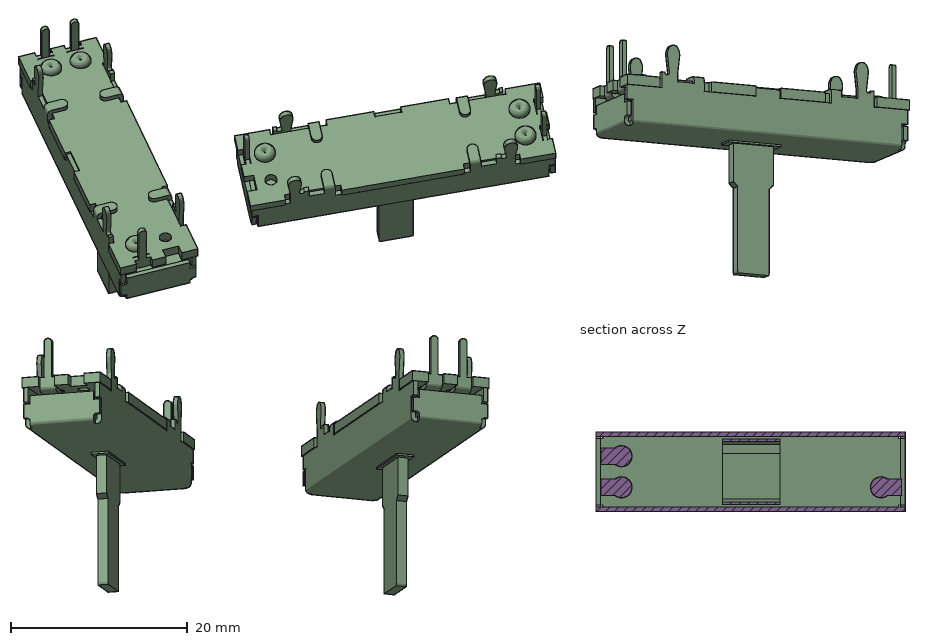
import cadquery as cq

SHEET = 0.53

BOARD_LENGTH = 35.2
BOARD_WIDTH = 9.3
BOARD_THICKNESS = 1.15
BOARD_BOTTOM = 4.58
BOARD_TOP = BOARD_BOTTOM + BOARD_THICKNESS
SIDE_NOTCH_DEPTH = 0.67
SIDE_NOTCH_OUTER = 13.55
SIDE_NOTCH_INNER = 7.08
CENTRE_NOTCH_LENGTH = 3.1
END_NOTCH_DEPTH = 1.13
TERMINAL_WIDTH = 1.9
TERMINAL_Y = 1.75
RIVET_X = 14.68
RIVET_HOLE_DIAMETER = 1.35

CHANNEL_LENGTH = 35.0
CHANNEL_WIDTH = 9.0
CHANNEL_X = -0.07
CHANNEL_LEFT = CHANNEL_X - CHANNEL_LENGTH / 2
CHANNEL_RIGHT = CHANNEL_X + CHANNEL_LENGTH / 2
WALL_OUTER_Y = CHANNEL_WIDTH / 2
FRONT_WALL_Y = (-WALL_OUTER_Y, SHEET - WALL_OUTER_Y)
TAB_ROOT = BOARD_BOTTOM - SHEET
CORNER_RELIEF = 0.75
CORNER_RELIEF_TOP = 2.92
END_PLATE_TOP = 3.63
EAR_BOTTOM = 1.05
EAR_TOP = 2.68
EAR_ROUND = 0.42

TAB_TOP = 5.42
CENTRE_TAB_LENGTH = 2.95
CENTRE_TAB_TOP = 5.53
FINGER_WIDTH = 1.25
FINGER_TIP_Y = 1.95

FRONT_LUG_X = -11.75
FRONT_SHOULDER_EDGE = -13.25
FRONT_SHOULDER_TOP = 6.4
FRONT_FINGER_INNER = -7.92
BACK_LUG_X = -12.45
BACK_SHOULDER_EDGE = -10.8
BACK_SHOULDER_TOP = 6.6
BACK_FINGER_INNER = -7.78
LUG_TOP = 9.6
LUG_NECK_HALF = 0.53
LUG_BULGE_HALF = 0.75
LUG_BULGE_BOTTOM = 8.25
LUG_BULGE_TOP = 8.8
LUG_SHOULDER_HALF = 0.6
LUG_SHOULDER_Z = 9.2
CROTCH_RADIUS = 0.28

TERMINAL_THICKNESS = 0.5
PIN_OUTER_X = 17.05
PIN_TOP = 10.25
PIN_WIDTH = 0.88
RIVET_HEAD_RADIUS = 1.2
RIVET_DIMPLE_RADIUS = 0.018
RIVET_FLANGE_THICKNESS = 0.1

CARRIAGE_LENGTH = 6.5
CARRIAGE_WIDTH = 7.45
CARRIAGE_GROOVE_FLOOR = 3.6
GROOVE_TOP_WIDTH = 6.8
GROOVE_FLOOR_WIDTH = 6.2
PAD_WIDTH = 1.05
PAD_HEIGHT = 0.28
COLLAR_WIDTH = 2.08
COLLAR_HEIGHT = 0.2
LEVER_THICKNESS = 1.23
LEVER_WIDE_HALF = 2.5
LEVER_NARROW_HALF = 1.97
LEVER_STEP_Z = -4.65
LEVER_BOTTOM = -15.15
LEVER_TIP_BEVEL_WIDTH = 0.07
LEVER_TIP_BEVEL_HEIGHT = 0.25
LEVER_STEP_HEIGHT = LEVER_WIDE_HALF - LEVER_NARROW_HALF


def block(x_range, y_range, z_range):
    """Box spanning the given (low, high) ranges."""
    (x0, x1), (y0, y1), (z0, z1) = x_range, y_range, z_range
    return cq.Workplane("XY").box(x1 - x0, y1 - y0, z1 - z0, centered=False).translate((x0, y0, z0))


def centred(length):
    return (-length / 2, length / 2)


def on_both_ends(shape):
    """The shape together with its mirror image at the other X end."""
    return shape.union(shape.mirror("YZ"))


def make_board():
    board = block(centred(BOARD_LENGTH), centred(BOARD_WIDTH), (BOARD_BOTTOM, BOARD_TOP))
    full_height = (BOARD_BOTTOM, BOARD_TOP)
    edge_y = BOARD_WIDTH / 2
    side_depth = (edge_y - SIDE_NOTCH_DEPTH, edge_y)
    side_notch = block((-SIDE_NOTCH_OUTER, -SIDE_NOTCH_INNER), side_depth, full_height)
    side_notches = on_both_ends(side_notch)
    centre_notch = block(centred(CENTRE_NOTCH_LENGTH), side_depth, full_height).mirror("XZ")
    board = board.cut(side_notches).cut(side_notches.mirror("XZ")).cut(centre_notch)
    end_x = BOARD_LENGTH / 2
    end_notch = block((-end_x, -end_x + END_NOTCH_DEPTH), centred(TERMINAL_WIDTH), full_height)
    for y in (-TERMINAL_Y, TERMINAL_Y):
        board = board.cut(on_both_ends(end_notch.translate((0, y, 0))))
    hole = cq.Workplane("XY").workplane(offset=BOARD_BOTTOM).center(RIVET_X, TERMINAL_Y)
    return board.cut(hole.circle(RIVET_HOLE_DIAMETER / 2).extrude(BOARD_THICKNESS))


def make_end_plate_ear():
    """Ear at the left end, +Y side, blended into the plate edge below it."""
    plate_y = WALL_OUTER_Y - CORNER_RELIEF
    profile = (
        cq.Workplane("YZ")
        .workplane(offset=CHANNEL_LEFT)
        .moveTo(plate_y, EAR_TOP)
        .lineTo(WALL_OUTER_Y, EAR_TOP)
        .lineTo(WALL_OUTER_Y, EAR_BOTTOM)
        .lineTo(plate_y + EAR_ROUND, EAR_BOTTOM)
        .radiusArc((plate_y, EAR_BOTTOM - EAR_ROUND), -EAR_ROUND)
        .close()
    )
    return profile.extrude(SHEET)


def make_channel():
    channel = (
        cq.Workplane("XY")
        .box(CHANNEL_LENGTH, CHANNEL_WIDTH, BOARD_BOTTOM, centered=(True, True, False))
        .edges("<Z")
        .fillet(SHEET)
        .translate((CHANNEL_X, 0, 0))
    )
    inner_x = (CHANNEL_LEFT + SHEET, CHANNEL_RIGHT - SHEET)
    inner_y = centred(CHANNEL_WIDTH - 2 * SHEET)
    channel = channel.cut(block(inner_x, inner_y, (SHEET, BOARD_BOTTOM)))
    all_x = (CHANNEL_LEFT, CHANNEL_RIGHT)
    channel = channel.cut(block(all_x, inner_y, (END_PLATE_TOP, BOARD_BOTTOM)))
    relief_y = (WALL_OUTER_Y - CORNER_RELIEF, WALL_OUTER_Y)
    relief_left = block((CHANNEL_LEFT, CHANNEL_LEFT + CORNER_RELIEF), relief_y, (0, CORNER_RELIEF_TOP))
    upper_gap_y = (WALL_OUTER_Y - CORNER_RELIEF, WALL_OUTER_Y - SHEET)
    upper_gap = block((CHANNEL_LEFT, CHANNEL_LEFT + SHEET), upper_gap_y, (EAR_TOP, END_PLATE_TOP))
    ear = make_end_plate_ear()
    end_to_end = (2 * CHANNEL_X, 0, 0)
    for cutter in (relief_left, upper_gap):
        left_pair = cutter.union(cutter.mirror("XZ"))
        channel = channel.cut(left_pair).cut(left_pair.mirror("YZ").translate(end_to_end))
    left_ears = ear.union(ear.mirror("XZ"))
    return channel.union(left_ears).union(left_ears.mirror("YZ").translate(end_to_end))


def make_lug(centre_x, shoulder_edge_x, shoulder_top):
    """Upright lug in the -Y wall with a rounded crotch between its neck and a low shoulder."""
    side = 1 if shoulder_edge_x > centre_x else -1

    def x_at(offset):
        return centre_x + side * offset

    crotch_outer = LUG_NECK_HALF + 2 * CROTCH_RADIUS
    crotch_middle = LUG_NECK_HALF + CROTCH_RADIUS
    crotch_bottom = shoulder_top - CROTCH_RADIUS
    profile = (
        cq.Workplane("XZ")
        .moveTo(shoulder_edge_x, TAB_ROOT)
        .lineTo(shoulder_edge_x, shoulder_top)
        .lineTo(x_at(crotch_outer), shoulder_top)
        .threePointArc((x_at(crotch_middle), crotch_bottom), (x_at(LUG_NECK_HALF), shoulder_top))
        .lineTo(x_at(LUG_BULGE_HALF), LUG_BULGE_BOTTOM)
        .threePointArc((x_at(LUG_BULGE_HALF), LUG_BULGE_TOP), (x_at(LUG_SHOULDER_HALF), LUG_SHOULDER_Z))
        .threePointArc((centre_x, LUG_TOP), (x_at(-LUG_SHOULDER_HALF), LUG_SHOULDER_Z))
        .threePointArc((x_at(-LUG_BULGE_HALF), LUG_BULGE_TOP), (x_at(-LUG_BULGE_HALF), LUG_BULGE_BOTTOM))
        .lineTo(x_at(-LUG_NECK_HALF), shoulder_top)
        .lineTo(x_at(-LUG_NECK_HALF), TAB_ROOT)
        .close()
    )
    return profile.extrude(SHEET).translate((0, SHEET - WALL_OUTER_Y, 0))


def make_finger(inner_x):
    """Strip rising from the -Y wall and folded inwards over the board."""
    outer_x = inner_x - FINGER_WIDTH
    x_range = (outer_x, inner_x)
    finger_top = BOARD_TOP + SHEET
    upright = block(x_range, FRONT_WALL_Y, (TAB_ROOT, finger_top))
    tip_radius = FINGER_WIDTH / 2
    strap = block(x_range, (-WALL_OUTER_Y, -FINGER_TIP_Y - tip_radius), (BOARD_TOP, finger_top))
    tip = (
        cq.Workplane("XY")
        .workplane(offset=BOARD_TOP)
        .center(inner_x - tip_radius, -FINGER_TIP_Y - tip_radius)
        .circle(tip_radius)
        .extrude(SHEET)
    )
    folded = upright.union(strap).edges("|X and <Y and >Z").fillet(SHEET)
    return folded.union(tip)


def make_wall_tabs(finger_inner, lug_centre, shoulder_edge, shoulder_top):
    """Tab, finger and lug at both ends of the -Y wall, from the sizes at the left end."""
    tab_outer = min(shoulder_edge, lug_centre - LUG_NECK_HALF)
    tab = block((tab_outer, finger_inner), FRONT_WALL_Y, (TAB_ROOT, TAB_TOP))
    tab = tab.union(make_finger(finger_inner))
    tab = tab.union(make_lug(lug_centre, shoulder_edge, shoulder_top))
    return on_both_ends(tab)


def make_centre_tab():
    return block(centred(CENTRE_TAB_LENGTH), FRONT_WALL_Y, (TAB_ROOT, CENTRE_TAB_TOP))


def make_terminal():
    """Left-end terminal on Y = 0: a foot under the board, a base in the notch, a pin and a rivet."""
    pin_x = (-PIN_OUTER_X, TERMINAL_THICKNESS - PIN_OUTER_X)
    foot_bottom = BOARD_BOTTOM - TERMINAL_THICKNESS
    base = block(pin_x, centred(TERMINAL_WIDTH), (foot_bottom, BOARD_TOP))
    foot = block((-PIN_OUTER_X, -RIVET_X), centred(TERMINAL_WIDTH), (foot_bottom, BOARD_BOTTOM))
    bent = base.union(foot).edges("|Y and <X and <Z").fillet(TERMINAL_THICKNESS)
    tip_radius = PIN_WIDTH / 2
    tip_z = PIN_TOP - tip_radius
    pin = (
        cq.Workplane("YZ")
        .workplane(offset=-PIN_OUTER_X)
        .moveTo(-tip_radius, BOARD_BOTTOM)
        .lineTo(-tip_radius, tip_z)
        .threePointArc((0, PIN_TOP), (tip_radius, tip_z))
        .lineTo(tip_radius, BOARD_BOTTOM)
        .close()
        .extrude(TERMINAL_THICKNESS)
    )
    ring_height = (RIVET_HEAD_RADIUS - RIVET_DIMPLE_RADIUS) / 2
    ring_middle = RIVET_DIMPLE_RADIUS + ring_height
    head = (
        cq.Workplane("XZ")
        .moveTo(RIVET_DIMPLE_RADIUS, 0)
        .threePointArc((ring_middle, ring_height), (RIVET_HEAD_RADIUS, 0))
        .close()
        .revolve(360, (0, 0, 0), (0, 1, 0))
        .translate((-RIVET_X, 0, BOARD_TOP))
    )
    axis = cq.Workplane("XY").center(-RIVET_X, 0)
    foot_end = axis.workplane(offset=foot_bottom).circle(TERMINAL_WIDTH / 2).extrude(TERMINAL_THICKNESS)
    flange_bottom = BOARD_BOTTOM - RIVET_FLANGE_THICKNESS
    flange = axis.workplane(offset=flange_bottom).circle(RIVET_HEAD_RADIUS).extrude(RIVET_FLANGE_THICKNESS)
    return bent.union(pin).union(head).union(foot_end).union(flange)


def make_carriage():
    """Block on the channel floor with a sloping-sided groove and a wiper pad."""
    body = block(centred(CARRIAGE_LENGTH), centred(CARRIAGE_WIDTH), (SHEET, BOARD_BOTTOM))
    groove = (
        cq.Workplane("YZ")
        .moveTo(-GROOVE_TOP_WIDTH / 2, BOARD_BOTTOM)
        .lineTo(GROOVE_TOP_WIDTH / 2, BOARD_BOTTOM)
        .lineTo(GROOVE_FLOOR_WIDTH / 2, CARRIAGE_GROOVE_FLOOR)
        .lineTo(-GROOVE_FLOOR_WIDTH / 2, CARRIAGE_GROOVE_FLOOR)
        .close()
        .extrude(CARRIAGE_LENGTH / 2, both=True)
    )
    pad_y = (GROOVE_FLOOR_WIDTH / 2 - PAD_WIDTH, GROOVE_FLOOR_WIDTH / 2)
    pad_z = (CARRIAGE_GROOVE_FLOOR, CARRIAGE_GROOVE_FLOOR + PAD_HEIGHT)
    return body.cut(groove).union(block(centred(CARRIAGE_LENGTH), pad_y, pad_z))


def make_lever():
    collar = block(centred(CARRIAGE_LENGTH), centred(COLLAR_WIDTH), (-COLLAR_HEIGHT, 0))
    bevel_z = LEVER_BOTTOM + LEVER_TIP_BEVEL_HEIGHT
    tip_half = LEVER_NARROW_HALF - LEVER_TIP_BEVEL_WIDTH
    lever = (
        cq.Workplane("XZ")
        .moveTo(-LEVER_WIDE_HALF, 0)
        .lineTo(LEVER_WIDE_HALF, 0)
        .lineTo(LEVER_WIDE_HALF, LEVER_STEP_Z)
        .lineTo(LEVER_NARROW_HALF, LEVER_STEP_Z - LEVER_STEP_HEIGHT)
        .lineTo(LEVER_NARROW_HALF, bevel_z)
        .lineTo(tip_half, LEVER_BOTTOM)
        .lineTo(-tip_half, LEVER_BOTTOM)
        .lineTo(-LEVER_NARROW_HALF, bevel_z)
        .lineTo(-LEVER_NARROW_HALF, LEVER_STEP_Z - LEVER_STEP_HEIGHT)
        .lineTo(-LEVER_WIDE_HALF, LEVER_STEP_Z)
        .close()
        .extrude(LEVER_THICKNESS / 2, both=True)
    )
    return collar.union(lever)


front_tabs = make_wall_tabs(FRONT_FINGER_INNER, FRONT_LUG_X, FRONT_SHOULDER_EDGE, FRONT_SHOULDER_TOP)
back_tabs = make_wall_tabs(BACK_FINGER_INNER, BACK_LUG_X, BACK_SHOULDER_EDGE, BACK_SHOULDER_TOP)
back_tabs = back_tabs.mirror("XZ")
terminal = make_terminal()
left_terminals = terminal.translate((0, -TERMINAL_Y, 0)).union(terminal.translate((0, TERMINAL_Y, 0)))
right_terminal = terminal.mirror("YZ").translate((0, -TERMINAL_Y, 0))

result = make_channel().union(make_board())
for feature in (front_tabs, back_tabs, make_centre_tab(), left_terminals, right_terminal):
    result = result.union(feature)
result = result.union(make_carriage()).union(make_lever())